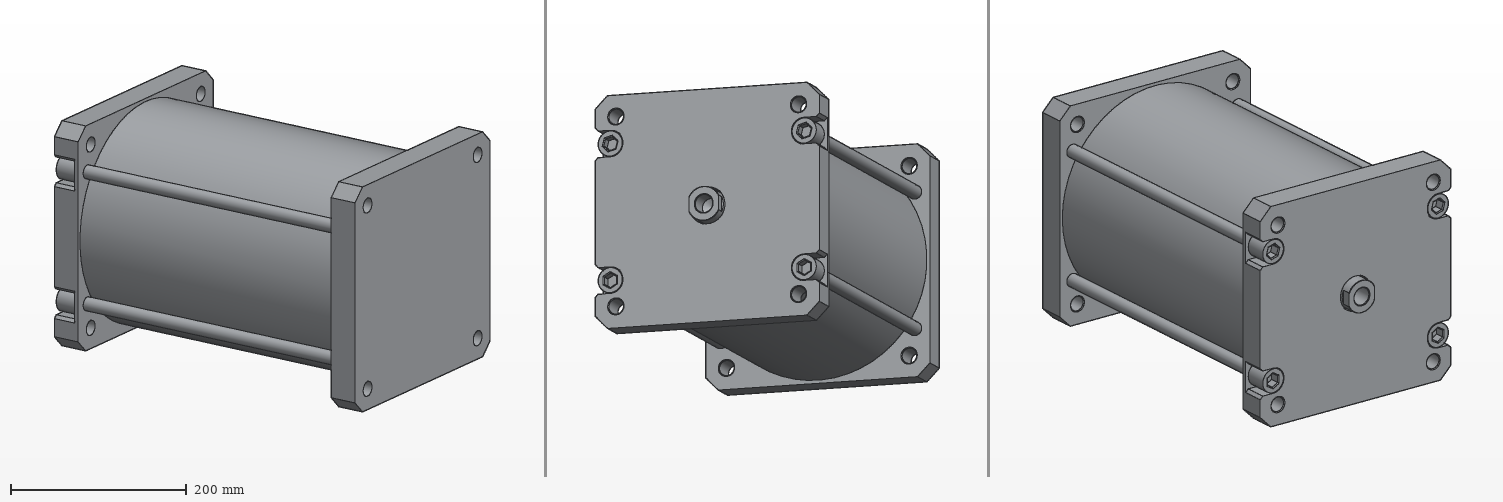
import cadquery as cq

total_length = 428.0
plate_side = 270.0
plate_thickness = 33.0
corner_chamfer = 15.0

rod_diameter = 40.0
rod_protrusion = 12.0
rod_flats = 36.0
rod_flat_length = 10.5
rod_tip_chamfer = 0.5
rod_hole_diameter = 21.0
rod_hole_chamfer = 1.0
rod_hole_depth = 25.5
rod_hole_tip = 6.5
bore_diameter = 43.0

barrel_diameter = 263.0

mount_hole_offset = 110.0
mount_hole_diameter = 17.5
mount_hole_chamfer = 1.05

bolt_y = 117.0
bolt_z = 79.0
bolt_diameter = 16.3
head_diameter = 29.0
pocket_width = 31.0
pocket_depth = 28.0
pocket_mouth_chamfer = 3.65
socket_width = 14.5
socket_chamfer = 1.3
socket_depth = 13.0
upper_socket_turn = 15

front_face = rod_protrusion
barrel_start = front_face + plate_thickness
barrel_end = total_length - plate_thickness
head_seat = front_face + pocket_depth
sides = (-1, 1)
bolt_places = [(y * bolt_y, z * bolt_z) for y in sides for z in sides]
mount_places = [(y * mount_hole_offset, z * mount_hole_offset) for y in sides for z in sides]


def section(x):
    """Workplane across the axis at x: local axes are Y and Z, extrusions run toward +X."""
    return cq.Workplane("YZ", origin=(x, 0, 0))


def make_countersink(x, y, z, hole_diameter, chamfer):
    """45 degree cone that breaks the -X rim of a hole."""
    radius = hole_diameter / 2
    return cq.Workplane(cq.Solid.makeCone(
        radius + chamfer, radius, chamfer, cq.Vector(x, y, z), cq.Vector(1, 0, 0)
    ))


def make_plate(x):
    """Square plate with cut corners and a through hole, chamfered on its -X rim, near each of them."""
    plate = section(x).rect(plate_side, plate_side).extrude(plate_thickness)
    plate = plate.edges("|X").chamfer(corner_chamfer)
    for y, z in mount_places:
        hole = section(x).center(y, z).circle(mount_hole_diameter / 2).extrude(plate_thickness)
        plate = plate.cut(hole)
        plate = plate.cut(make_countersink(x, y, z, mount_hole_diameter, mount_hole_chamfer))
    return plate


def make_pocket(y, z):
    """Slot from the plate's side to a round end about the bolt, with a chamfered mouth."""
    side = 1 if y > 0 else -1
    edge = side * plate_side / 2
    half = pocket_width / 2
    mouth = half + pocket_mouth_chamfer
    neck = edge - side * pocket_mouth_chamfer
    return (
        section(front_face)
        .moveTo(edge, z + mouth)
        .lineTo(neck, z + half)
        .lineTo(y, z + half)
        .threePointArc((y - side * half, z), (y, z - half))
        .lineTo(neck, z - half)
        .lineTo(edge, z - mouth)
        .close()
        .extrude(pocket_depth)
    )


def make_front_plate():
    """Plate with a clearance bore for the rod, and a pocket and a hole for each tie bolt."""
    plate = make_plate(front_face)
    plate = plate.cut(section(front_face).circle(bore_diameter / 2).extrude(plate_thickness))
    for y, z in bolt_places:
        plate = plate.cut(make_pocket(y, z))
        hole = section(front_face).center(y, z).circle(bolt_diameter / 2).extrude(plate_thickness)
        plate = plate.cut(hole)
    return plate


def make_barrel():
    """Plain cylinder between the two plates."""
    return section(barrel_start).circle(barrel_diameter / 2).extrude(barrel_end - barrel_start)


def make_piston_rod():
    """Rod up to the barrel, with two flats at its tip and a blind hole with a conical bottom."""
    rod = section(0).circle(rod_diameter / 2).extrude(barrel_start)
    rod = rod.faces("<X").chamfer(rod_tip_chamfer)
    flat_stock = section(0).rect(2 * rod_diameter, 2 * rod_diameter).rect(rod_flats, 2 * rod_diameter)
    rod = rod.cut(flat_stock.extrude(rod_flat_length))
    hole = (
        cq.Workplane("XY")
        .polyline([
            (0, 0),
            (0, rod_hole_diameter / 2),
            (rod_hole_depth, rod_hole_diameter / 2),
            (rod_hole_depth + rod_hole_tip, 0),
        ])
        .close()
        .revolve(360, (0, 0, 0), (1, 0, 0))
    )
    return rod.cut(hole).cut(make_countersink(0, 0, 0, rod_hole_diameter, rod_hole_chamfer))


def make_socket(y, z):
    """Hexagon socket with a chamfered rim; the sockets of the upper bolts are turned."""
    turn = upper_socket_turn if z > 0 else 0
    mouth = section(front_face).center(y, z).transformed(rotate=(0, 0, turn))
    hexagon = mouth.polygon(6, socket_width, circumscribed=True).extrude(socket_depth)
    rim_width = socket_width + 2 * socket_chamfer
    rim = mouth.polygon(6, rim_width, circumscribed=True).extrude(socket_chamfer, taper=45)
    return hexagon.union(rim)


def make_tie_bolt(y, z):
    """Long bolt with a round head and a hexagon socket."""
    head = section(front_face).center(y, z).circle(head_diameter / 2).extrude(pocket_depth)
    shank = section(head_seat).center(y, z).circle(bolt_diameter / 2).extrude(barrel_end - head_seat)
    return head.union(shank).cut(make_socket(y, z))


front_plate = make_front_plate()
rear_plate = make_plate(barrel_end)
barrel = make_barrel()
piston_rod = make_piston_rod()
tie_bolts = [make_tie_bolt(y, z) for y, z in bolt_places]

result = cq.Compound.makeCompound([
    front_plate.val(),
    rear_plate.val(),
    barrel.val(),
    piston_rod.val(),
    *[bolt.val() for bolt in tie_bolts],
])